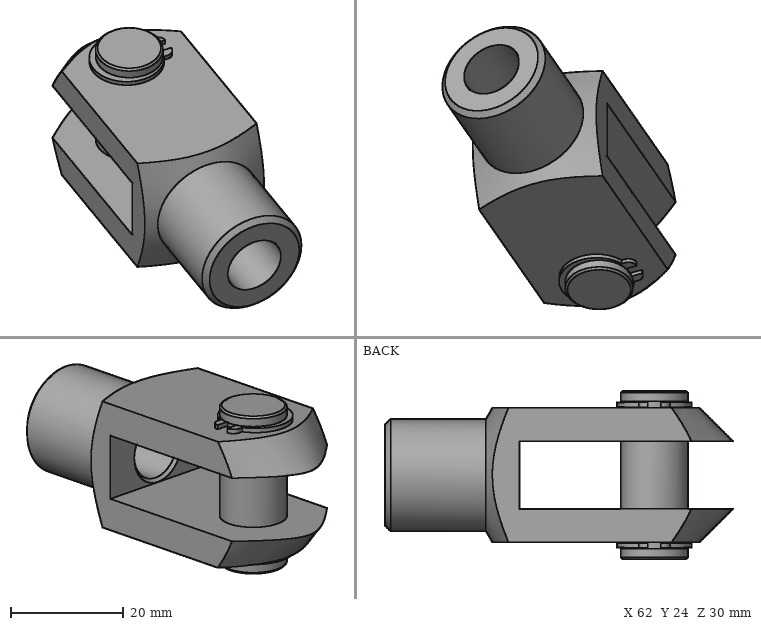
import cadquery as cq
import math

total_length = 62.0
body_width = 24.0
half_width = body_width / 2

slot_height = 12.0
slot_depth = 38.0
nose_tip_radius = slot_height / 2

shank_diameter = 20.0
shank_start = 44.0
shank_chamfer = 1.0
shoulder_angle = 30.0
bore_diameter = 10.65
bore_chamfer = 0.6

pin_diameter = 12.0
pin_length = 30.0
pin_x = 14.0
pin_chamfer = 0.4
groove_diameter = 10.8
groove_width = 1.1

clip_thickness = 0.8
clip_clearance = 0.1
clip_diameter = 13.4
clip_offset = 0.5
clip_gap = 2.35
tab_width = 1.6
tab_reach = 7.8
tab_round = 1.55


def make_turned_envelope():
    """Solid of revolution about X: nose cone, conical shoulder and shank."""
    corner_radius = half_width * math.sqrt(2) + 0.6
    shank_radius = shank_diameter / 2
    nose_end = corner_radius - nose_tip_radius
    shoulder_run = (corner_radius - shank_radius) * math.tan(math.radians(shoulder_angle))
    return (
        cq.Workplane("XY")
        .moveTo(0, 0)
        .lineTo(0, nose_tip_radius)
        .lineTo(nose_end, corner_radius)
        .lineTo(shank_start - shoulder_run, corner_radius)
        .lineTo(shank_start, shank_radius)
        .lineTo(total_length - shank_chamfer, shank_radius)
        .lineTo(total_length, shank_radius - shank_chamfer)
        .lineTo(total_length, 0)
        .close()
        .revolve(360, (0, 0, 0), (1, 0, 0))
    )


def make_fork():
    """Square body with turned ends, a slot between the arms and a bore through the shank."""
    bar = cq.Workplane("XY").box(total_length, body_width, body_width, centered=(False, True, True))
    slot = cq.Workplane("XY").box(slot_depth, body_width, slot_height, centered=(False, True, True))
    bore = (
        cq.Workplane("YZ", origin=(slot_depth, 0, 0))
        .circle(bore_diameter / 2)
        .extrude(total_length - slot_depth)
    )
    countersink = (
        cq.Workplane("YZ", origin=(slot_depth, 0, 0))
        .circle(bore_diameter / 2 + bore_chamfer)
        .extrude(bore_chamfer, taper=45)
    )
    return bar.intersect(make_turned_envelope()).cut(slot).cut(bore).cut(countersink)


def make_pin():
    """Chamfered pin with a clip groove just outside each fork arm."""
    pin = (
        cq.Workplane("XY", origin=(pin_x, 0, -pin_length / 2))
        .circle(pin_diameter / 2)
        .extrude(pin_length)
        .faces("<Z or >Z")
        .chamfer(pin_chamfer)
    )
    for groove_bottom in (half_width, -half_width - groove_width):
        groove = (
            cq.Workplane("XY", origin=(pin_x, 0, groove_bottom))
            .circle(pin_diameter / 2)
            .circle(groove_diameter / 2)
            .extrude(groove_width)
        )
        pin = pin.cut(groove)
    return pin


def make_clip(bottom_z):
    """Eccentric open ring with two rounded tabs beside its gap on the +Y side."""
    plane = cq.Workplane("XY", origin=(pin_x, 0, bottom_z))
    clip = plane.center(0, -clip_offset).circle(clip_diameter / 2).extrude(clip_thickness)
    tab_x = (clip_gap + tab_width) / 2
    for side in (-1, 1):
        tab = (
            plane.center(side * tab_x, tab_reach / 2)
            .rect(tab_width, tab_reach)
            .extrude(clip_thickness)
            .edges("|Z and >Y")
            .edges("<X" if side < 0 else ">X")
            .fillet(tab_round)
        )
        clip = clip.union(tab)
    gap = plane.center(0, tab_reach / 2).rect(clip_gap, tab_reach).extrude(clip_thickness)
    pin_seat = plane.circle(groove_diameter / 2).extrude(clip_thickness)
    return clip.cut(gap).cut(pin_seat)


result = make_fork().union(make_pin())
clip_inner_face = half_width + clip_clearance
for clip_bottom in (clip_inner_face, -clip_inner_face - clip_thickness):
    result = result.union(make_clip(clip_bottom))